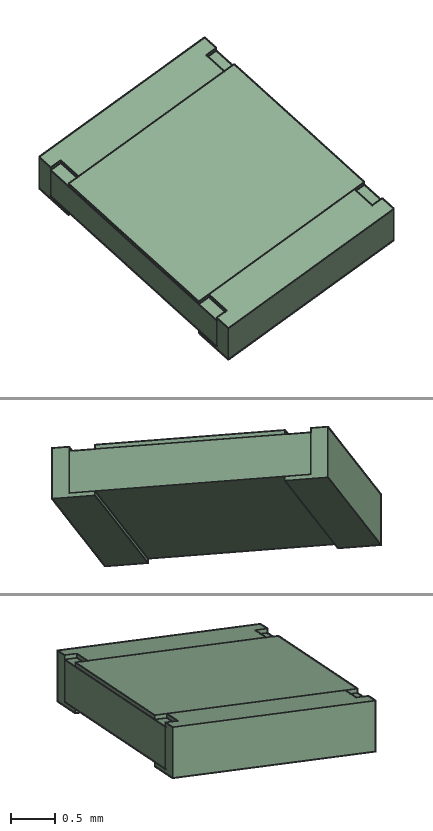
import cadquery as cq

length = 3.2
width = 2.5
height = 0.6

end_wall = 0.2
flange_length = 0.5
film = 0.05
notch_width = 0.15

substrate_length = length - 2 * end_wall
substrate_height = height - 2 * film
coating_length = length - 2 * flange_length
notch_length = flange_length - end_wall


def block(size_x, size_y, size_z, center_x, bottom_z):
    """Box centred on Y = 0 that stands on the given height."""
    return (
        cq.Workplane("XY")
        .box(size_x, size_y, size_z, centered=(True, True, False))
        .translate((center_x, 0, bottom_z))
    )


def make_substrate():
    return block(substrate_length, width, substrate_height, 0, film)


def make_coating():
    """Thin protective layer on the substrate, between the terminals."""
    return block(coating_length, width, film, 0, height - film)


def make_terminal(side):
    """C-shaped end cap; side is -1 for the -X end and +1 for the +X end."""
    terminal = block(flange_length, width, height, side * (length - flange_length) / 2, 0)
    terminal = terminal.cut(make_substrate())

    notch_x = side * (coating_length + notch_length) / 2
    notch_y = (width - notch_width) / 2
    notch = block(notch_length, notch_width, film, notch_x, height - film)
    for y in (-notch_y, notch_y):
        terminal = terminal.cut(notch.translate((0, y, 0)))
    return terminal


substrate = make_substrate()
coating = make_coating()
terminals = [make_terminal(side) for side in (-1, 1)]

result = cq.Compound.makeCompound(
    [substrate.val(), coating.val(), *[terminal.val() for terminal in terminals]]
)